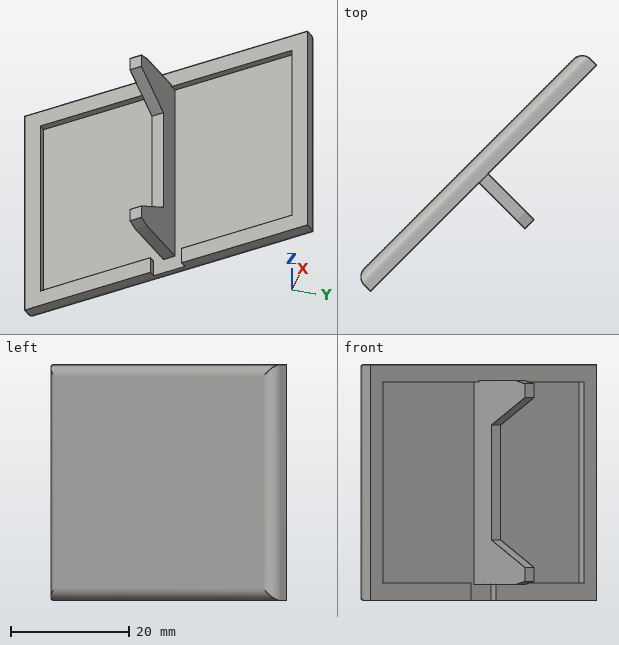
import cadquery as cq

TURN_ANGLE = 45.0

PLATE_LENGTH = 54.2
PLATE_HEIGHT = 40.0
PLATE_THICKNESS = 3.5
EDGE_RADIUS = 2.0

RIM_WIDTH = 3.0
RECESS_DEPTH = 1.2

NOTCH_WIDTH = 6.0

RIB_THICKNESS = 2.2
RIB_HEIGHT = 34.5
RIB_REACH = 11.0
WEB_REACH = 3.0
WEB_OPENING = 19.5
PRONG_OPENING = 28.8
TIP_CHAMFER_LENGTH = 2.0
TIP_CHAMFER_HEIGHT = 0.5


def make_plate():
    """Plate with all four edges of its outer face rounded."""
    plate = cq.Workplane("XY").box(
        PLATE_LENGTH, PLATE_THICKNESS, PLATE_HEIGHT, centered=(True, False, True)
    )
    return plate.faces(">Y").edges().fillet(EDGE_RADIUS)


def make_recess():
    """Volume of the rectangular recess in the back face."""
    return cq.Workplane("XY").box(
        PLATE_LENGTH - 2 * RIM_WIDTH,
        RECESS_DEPTH,
        PLATE_HEIGHT - 2 * RIM_WIDTH,
        centered=(True, False, True),
    )


def make_notch():
    """Volume joining the recess to the lower edge of the plate."""
    return (
        cq.Workplane("XY")
        .box(NOTCH_WIDTH, RECESS_DEPTH, PLATE_HEIGHT / 2, centered=(True, False, False))
        .translate((0, 0, -PLATE_HEIGHT / 2))
    )


def make_rib():
    """Clip rib rising from the recess floor, symmetric about mid-height."""
    chamfer_start = RIB_REACH - TIP_CHAMFER_LENGTH
    half_height = RIB_HEIGHT / 2
    upper_half = [
        (RECESS_DEPTH, half_height),
        (-chamfer_start, half_height),
        (-RIB_REACH, half_height - TIP_CHAMFER_HEIGHT),
        (-RIB_REACH, PRONG_OPENING / 2),
        (-WEB_REACH, WEB_OPENING / 2),
    ]
    lower_half = [(y, -z) for y, z in reversed(upper_half)]
    return (
        cq.Workplane("YZ")
        .polyline(upper_half + lower_half)
        .close()
        .extrude(RIB_THICKNESS / 2, both=True)
    )


cover = make_plate().cut(make_recess()).cut(make_notch()).union(make_rib())
result = cover.rotate((0, 0, 0), (0, 0, 1), TURN_ANGLE)